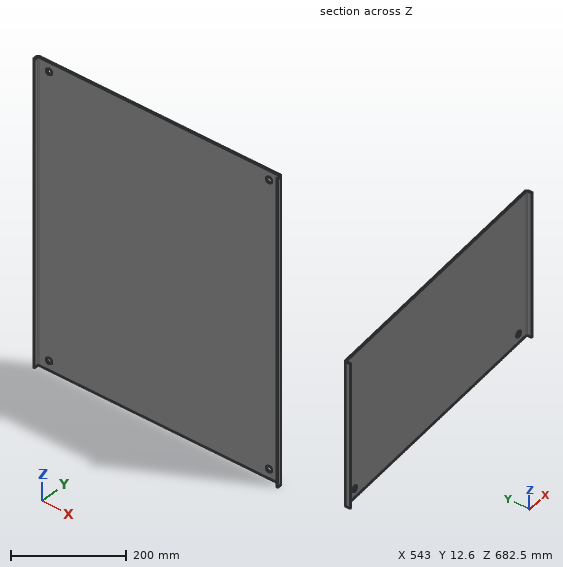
import cadquery as cq

width = 543.0
height = 682.5

sheet_thickness = 3.1
inner_bend_radius = 1.7
outer_bend_radius = inner_bend_radius + sheet_thickness
flange_reach = 9.5
depth = sheet_thickness + flange_reach

hole_diameter = 13.0
hole_spacing_x = 488.0
hole_spacing_z = 640.0

channel = cq.Workplane("XY").box(width, depth, height)
channel = channel.edges("|Z and >Y").fillet(outer_bend_radius)

hollow = (
    cq.Workplane("XY")
    .box(width - 2 * sheet_thickness, depth, height)
    .edges("|Z and >Y")
    .fillet(inner_bend_radius)
    .translate((0, -sheet_thickness, 0))
)
channel = channel.cut(hollow)

holes = (
    cq.Workplane("XZ")
    .rarray(hole_spacing_x, hole_spacing_z, 2, 2)
    .circle(hole_diameter / 2)
    .extrude(depth, both=True)
)

result = channel.cut(holes)